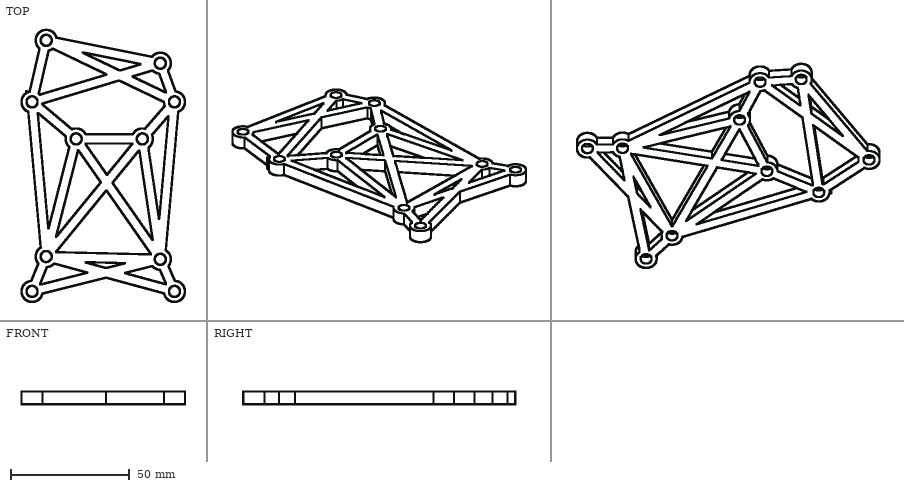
import cadquery as cq
import math

thickness = 5.5
boss_diameter = 9.0
hole_diameter = 4.6
strut_width = 4.0

width = 60.0
length = 105.8
shoulder_y = 79.9
inset = 6.0
middle_y = 64.3
bosses = {
    "bottom left": (0, 0),
    "bottom right": (width, 0),
    "lower left": (inset, 14.7),
    "lower right": (width - inset, 13.5),
    "middle left": (18.6, middle_y),
    "middle right": (46.5, middle_y),
    "shoulder left": (0, shoulder_y),
    "shoulder right": (width, shoulder_y),
    "top left": (inset, length),
    "top right": (width - inset, 96.2),
}

struts = [
    ("bottom left", "lower left"),
    ("bottom right", "lower right"),
    ("bottom left", "lower right"),
    ("bottom right", "lower left"),
    ("lower left", "lower right"),
    ("lower left", "middle left"),
    ("lower left", "middle right"),
    ("lower right", "middle left"),
    ("lower right", "middle right"),
    ("middle left", "middle right"),
    ("lower left", "shoulder left"),
    ("lower right", "shoulder right"),
    ("middle left", "shoulder left"),
    ("middle right", "shoulder right"),
    ("shoulder left", "top left"),
    ("shoulder right", "top right"),
    ("shoulder left", "top right"),
    ("shoulder right", "top left"),
    ("top left", "top right"),
]


def strut(start_name, end_name):
    """Flat bar from one boss centre to another."""
    start_x, start_y = bosses[start_name]
    end_x, end_y = bosses[end_name]
    run = end_x - start_x
    rise = end_y - start_y
    bar_length = math.hypot(run, rise)
    bar = cq.Workplane("XY").box(bar_length, strut_width, thickness, centered=(False, True, False))
    bar = bar.rotate((0, 0, 0), (0, 0, 1), math.degrees(math.atan2(rise, run)))
    return bar.translate((start_x, start_y, 0))


def mitred_corner(corner_name, first_name, second_name):
    """Pointed fill where the outer edges of two struts meet beyond their shared boss.

    The first strut lies clockwise of the second as seen from the corner.
    """
    corner = cq.Vector(*bosses[corner_name])
    first = (cq.Vector(*bosses[first_name]) - corner).normalized()
    second = (cq.Vector(*bosses[second_name]) - corner).normalized()
    up = cq.Vector(0, 0, 1)
    half_width = strut_width / 2
    half_angle = first.getAngle(second) / 2
    tip = corner - (first + second).normalized() * (half_width / math.sin(half_angle))
    first_edge = corner + first.cross(up) * half_width
    second_edge = corner + up.cross(second) * half_width
    outline = [(point.x, point.y) for point in (corner, first_edge, tip, second_edge)]
    return cq.Workplane("XY").polyline(outline).close().extrude(thickness)


def cylinders(diameter):
    """Upright cylinder through the full thickness at every boss."""
    return cq.Workplane("XY").pushPoints(list(bosses.values())).circle(diameter / 2).extrude(thickness)


frame = cylinders(boss_diameter)
for start_name, end_name in struts:
    frame = frame.union(strut(start_name, end_name))
frame = frame.union(mitred_corner("shoulder left", "lower left", "middle left"))

result = frame.cut(cylinders(hole_diameter))